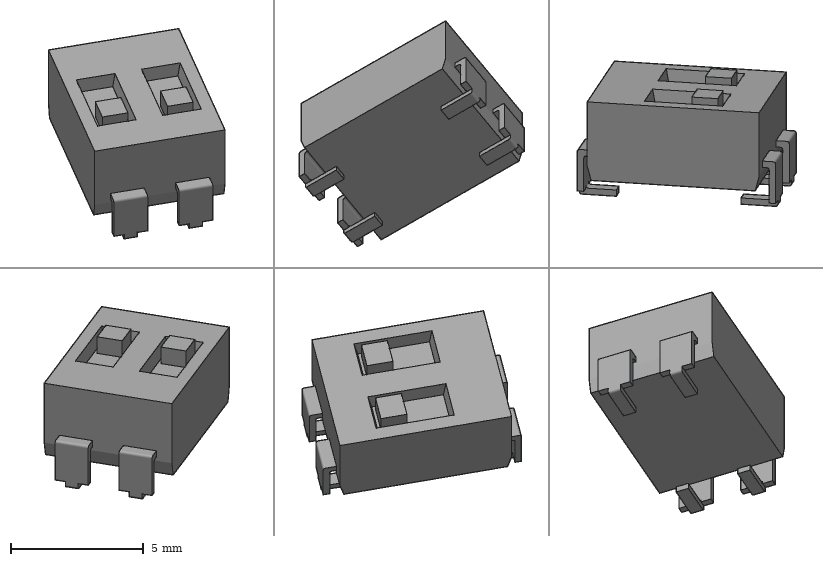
import cadquery as cq

overall_length = 7.62
overall_height = 4.2

housing_length = 6.6
housing_width = 5.08
housing_bottom = 0.9
housing_top = 4.0
taper_height = 0.57
taper_inset = 0.15

pitch = housing_width / 2
position_ys = (-pitch / 2, pitch / 2)

recess_length = 3.0
recess_width = 1.5
recess_depth = 0.5
recess_inset = 0.12
recess_x = 0.3

slider_size = 1.0
slider_x = 1.06

lead_thickness = 0.25
lead_top = 1.9
lead_width = 1.32
foot_width = 0.5
foot_length = 1.42
bend_radius = 0.1


def extrude_along_y(y, width, outline):
    """Extrude an XZ outline along Y, centred on y."""
    return (
        cq.Workplane("XZ", origin=(0, y, 0))
        .polyline(outline)
        .close()
        .extrude(width / 2, both=True)
    )


def make_housing():
    half_length = housing_length / 2
    half_bottom = half_length - taper_inset
    taper_top = housing_bottom + taper_height
    outline = [
        (-half_bottom, housing_bottom),
        (half_bottom, housing_bottom),
        (half_length, taper_top),
        (half_length, housing_top),
        (-half_length, housing_top),
        (-half_length, taper_top),
    ]
    return extrude_along_y(0, housing_width, outline)


def make_recess(y):
    return (
        cq.Workplane("XY", origin=(recess_x, y, housing_top))
        .rect(recess_length, recess_width)
        .workplane(offset=-recess_depth)
        .rect(recess_length - 2 * recess_inset, recess_width - 2 * recess_inset)
        .loft(ruled=True)
    )


def make_slider(y):
    floor = housing_top - recess_depth
    return (
        cq.Workplane("XY", origin=(slider_x, y, floor))
        .rect(slider_size, slider_size)
        .extrude(overall_height - floor)
    )


def round_bend(strip, bend_points):
    """Fillet the edge along Y through each of the given points."""
    for point in bend_points:
        corner = cq.selectors.NearestToPointSelector(point)
        strip = strip.edges(corner).fillet(bend_radius)
    return strip


def make_left_lead(y):
    outer = -overall_length / 2
    inner = outer + lead_thickness
    housing_end = -housing_length / 2
    foot_end = outer + foot_length
    arm_bottom = lead_top - lead_thickness

    upright = extrude_along_y(y, lead_width, [
        (housing_end, lead_top),
        (outer, lead_top),
        (outer, lead_thickness),
        (inner, lead_thickness),
        (inner, arm_bottom),
        (housing_end, arm_bottom),
    ])
    upper_bend = [(outer, y, lead_top), (inner, y, arm_bottom)]
    upright = round_bend(upright, upper_bend)

    foot = extrude_along_y(y, foot_width, [
        (outer, arm_bottom - bend_radius),
        (outer, 0),
        (foot_end, 0),
        (foot_end, lead_thickness),
        (inner, lead_thickness),
        (inner, arm_bottom - bend_radius),
    ])
    lower_bend = [(outer, y, 0), (inner, y, lead_thickness)]
    foot = round_bend(foot, lower_bend)

    return upright.union(foot)


result = make_housing()
for position_y in position_ys:
    left_lead = make_left_lead(position_y)
    result = (
        result.cut(make_recess(position_y))
        .union(make_slider(position_y))
        .union(left_lead)
        .union(left_lead.mirror("YZ"))
    )